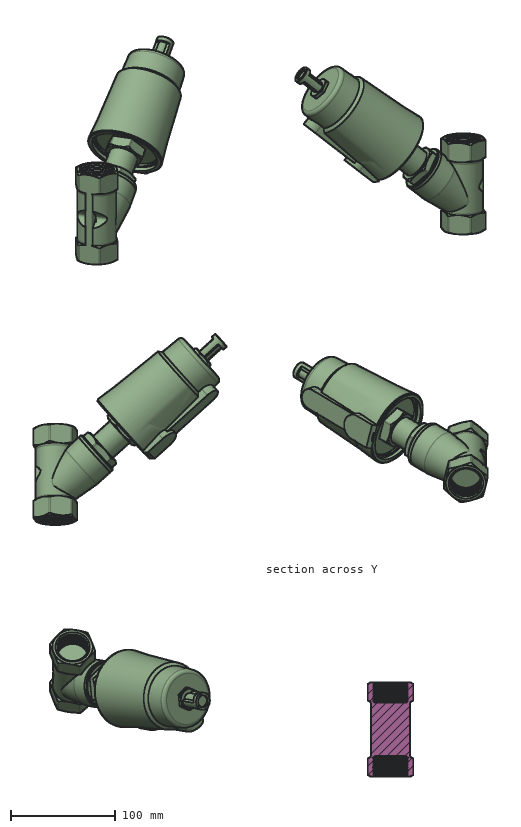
import cadquery as cq
import math

pipe_half_length = 45.2
pipe_radius = 18.8
hex_flats = 38.5
hex_edge_radius = 1.5
hex_height = 19.0
hex_corner_radius = hex_flats / math.sqrt(3)
hex_chamfer_drop = (hex_corner_radius - hex_flats / 2) * math.tan(math.radians(30))
hex_neck_height = 1.7

thread_major_radius = 16.5
thread_minor_radius = 14.9
thread_pitch = 2.3
thread_turns = 8
thread_floor_depth = 19.5

rib_width = 7.3
rib_edge_radius = 0.65
rib_hex_overlap = 1.9
recess_bottom_y = -10.7
recess_half_height = 9.5
recess_reach = 17.0

branch_elevation = math.radians(40)
crossing_z = -15.6

branch_root = -2.6
branch_cone_end = 33.3
branch_end = 50.7
flange_end = 54.6
bonnet_nut_end = 61.5
neck_nut_start = 83.5
housing_start = 87.2
recess_floor = housing_start + 6.5
recess_step = housing_start + 4.1
shoulder_start = 162.0
shoulder_end = 165.0
cap_end = 188.2
cap_nut_end = 191.4
handle_ring_start = 209.5
handle_end = 214.0

branch_root_radius = 18.0
branch_radius = 22.6
flange_chamfer = 1.0
bonnet_nut_flats = 36.0
neck_radius = 14.1
neck_nut_flats = 34.0
housing_base_radius = 37.39
housing_base_chamfer = 1.1
housing_middle_radius = 34.3
housing_top_radius = 32.5
cap_base_radius = 29.4
cap_top_radius = 28.5
cap_edge_radius = 3.8
base_recess_radius = 33.0
base_step_radius = 30.9
cap_nut_flats = 19.5
handle_radius = 8.3
handle_core_radius = 5.7
handle_land_thickness = 7.5
handle_recess_radius = 5.8
handle_recess_depth = 1.9

lower_pad_width = 25.2
lower_pad_end = 122.5
lower_pad_height = 39.5
lower_pad_chamfer = 3.5
upper_pad_width = 20.0
upper_pad_start = 103.5
upper_pad_end = 179.3
upper_pad_height = 36.2
pad_root = 22.6

branch_plane = cq.Plane(
    origin=(0, 0, crossing_z),
    xDir=(1, 0, 0),
    normal=(0, math.cos(branch_elevation), math.sin(branch_elevation)),
)


def place_on_branch(shape):
    """Move a shape built along Z so that its Z axis becomes the branch axis."""
    return cq.Workplane(shape.val().moved(cq.Location(branch_plane)))


def disc(radius, start, end):
    return cq.Workplane("XY").workplane(offset=start).circle(radius).extrude(end - start)


def hex_nut(flats, start, end, chamfered_end):
    """Hexagon with corners on the X axis, its corners cut by a 30 degree cone at one end."""
    corner = flats / math.sqrt(3)
    drop = (corner - flats / 2) * math.tan(math.radians(30))
    flat_edge = flats / 2
    if chamfered_end == "start":
        outline = [(0, start), (flat_edge, start), (corner, start + drop), (corner, end), (0, end)]
    else:
        outline = [(0, start), (corner, start), (corner, end - drop), (flat_edge, end), (0, end)]
    envelope = cq.Workplane("XZ").polyline(outline).close().revolve(360, (0, 0), (0, 1))
    prism = cq.Workplane("XY").workplane(offset=start).polygon(6, 2 * corner).extrude(end - start)
    return prism.edges("|Z").fillet(0.03 * flats).intersect(envelope)


def pipe_with_hexagons():
    """Turned pipe whose thick ends are trimmed to a hexagon."""
    flat_radius = hex_flats / 2
    inner_face = pipe_half_length - hex_height
    neck = inner_face - hex_neck_height
    shaft = (
        cq.Workplane("XZ")
        .moveTo(0, -pipe_half_length)
        .lineTo(flat_radius, -pipe_half_length)
        .lineTo(hex_corner_radius, -pipe_half_length + hex_chamfer_drop)
        .lineTo(hex_corner_radius, -inner_face - hex_chamfer_drop)
        .lineTo(flat_radius, -inner_face)
        .lineTo(pipe_radius, -neck)
        .lineTo(pipe_radius, neck)
        .lineTo(flat_radius, inner_face)
        .lineTo(hex_corner_radius, inner_face + hex_chamfer_drop)
        .lineTo(hex_corner_radius, pipe_half_length - hex_chamfer_drop)
        .lineTo(flat_radius, pipe_half_length)
        .lineTo(0, pipe_half_length)
        .close()
        .revolve(360, (0, 0), (0, 1))
    )
    prism = (
        cq.Workplane("XY")
        .polygon(6, 2 * hex_corner_radius)
        .extrude(pipe_half_length, both=True)
        .edges("|Z")
        .fillet(hex_edge_radius)
    )
    return shaft.intersect(prism)


def side_recess():
    """Groove across the pipe: straight flanks blending into a rounded bottom."""
    mouth_y = -hex_flats / 2
    return (
        cq.Workplane("YZ")
        .moveTo(mouth_y, recess_half_height)
        .spline(
            [(recess_bottom_y, 0), (mouth_y, -recess_half_height)],
            tangents=[(1, -1), (-1, -1)],
            includeCurrent=True,
        )
        .close()
        .extrude(recess_reach, both=True)
    )


def rib():
    """Rounded rib, flush with the hexagon flats and deep enough to form a web in the recess."""
    front_y = -hex_flats / 2
    depth = recess_bottom_y - front_y
    length = 2 * (pipe_half_length - hex_height + rib_hex_overlap)
    bar = cq.Workplane("XY").box(rib_width, depth, length).translate((0, front_y + depth / 2, 0))
    return bar.edges("|Z and <Y").fillet(rib_edge_radius)


def threaded_bore():
    """Blind bore at the top end with a V groove for each thread turn."""
    outline = [(0, pipe_half_length), (thread_major_radius, pipe_half_length)]
    for turn in range(thread_turns):
        crest_z = pipe_half_length - (turn + 0.5) * thread_pitch
        outline.append((thread_minor_radius, crest_z))
        outline.append((thread_major_radius, crest_z - thread_pitch / 2))
    floor_z = pipe_half_length - thread_floor_depth
    outline.append((thread_minor_radius, floor_z))
    outline.append((0, floor_z))
    return cq.Workplane("XZ").polyline(outline).close().revolve(360, (0, 0), (0, 1))


def branch():
    outline = [
        (0, branch_root),
        (branch_root_radius, branch_root),
        (branch_radius, branch_cone_end),
        (branch_radius, branch_end),
        (0, branch_end),
    ]
    return place_on_branch(cq.Workplane("XZ").polyline(outline).close().revolve(360, (0, 0), (0, 1)))


def make_valve_body():
    top_bore = threaded_bore()
    bottom_bore = top_bore.mirror("XY")
    pipe = pipe_with_hexagons().cut(side_recess()).union(rib())
    return pipe.union(branch()).cut(top_bore).cut(bottom_bore)


def housing():
    """Slightly curved taper, a sloping shoulder and a cap with a rounded edge."""
    middle = (housing_start + shoulder_start) / 2
    base_edge = housing_start + housing_base_chamfer
    cap_corner = cap_edge_radius * (1 - math.sqrt(0.5))
    return (
        cq.Workplane("XZ")
        .moveTo(0, housing_start)
        .lineTo(housing_base_radius - housing_base_chamfer, housing_start)
        .lineTo(housing_base_radius, base_edge)
        .threePointArc((housing_middle_radius, middle), (housing_top_radius, shoulder_start))
        .lineTo(cap_base_radius, shoulder_end)
        .lineTo(cap_top_radius, cap_end - cap_edge_radius)
        .threePointArc(
            (cap_top_radius - cap_corner, cap_end - cap_corner),
            (cap_top_radius - cap_edge_radius, cap_end),
        )
        .lineTo(0, cap_end)
        .close()
        .revolve(360, (0, 0), (0, 1))
    )


def pad(width, start, end, height):
    """Flat pad that starts square and ends in a half circle."""
    half = width / 2
    return (
        cq.Workplane("XZ", origin=(0, pad_root, 0))
        .moveTo(-half, start)
        .lineTo(half, start)
        .lineTo(half, end - half)
        .threePointArc((0, end), (-half, end - half))
        .close()
        .extrude(pad_root - height)
    )


def housing_pads():
    lower = pad(lower_pad_width, housing_start, lower_pad_end, lower_pad_height)
    lower = lower.edges(">Y and <Z").chamfer(lower_pad_chamfer)
    return lower.union(pad(upper_pad_width, upper_pad_start, upper_pad_end, upper_pad_height))


def base_recess():
    wide = disc(base_recess_radius, housing_start, recess_step)
    return wide.union(disc(base_step_radius, recess_step, recess_floor))


def bonnet():
    """Flange and nut on the branch, and the neck and nut that carry the housing."""
    flange = disc(branch_radius, branch_end, flange_end).faces(">Z").edges().chamfer(flange_chamfer)
    return (
        flange.union(hex_nut(bonnet_nut_flats, flange_end, bonnet_nut_end, "end"))
        .union(disc(neck_radius, bonnet_nut_end, neck_nut_start))
        .union(hex_nut(neck_nut_flats, neck_nut_start, recess_floor, "start"))
    )


def handle():
    """Nut on the cap, then a round core between two side lands, closed by a ring."""
    lands = disc(handle_radius, cap_nut_end, handle_ring_start).intersect(
        cq.Workplane("XY").box(2 * handle_radius, handle_land_thickness, 2 * handle_end)
    )
    return (
        hex_nut(cap_nut_flats, cap_end, cap_nut_end, "end")
        .union(disc(handle_core_radius, cap_nut_end, handle_ring_start))
        .union(lands)
        .union(disc(handle_radius, handle_ring_start, handle_end))
        .cut(disc(handle_recess_radius, handle_end - handle_recess_depth, handle_end))
    )


def make_actuator():
    shell = housing().union(housing_pads()).cut(base_recess())
    return place_on_branch(shell.union(bonnet()).union(handle()))


valve_body = make_valve_body()
actuator = make_actuator()

result = cq.Compound.makeCompound([valve_body.val(), actuator.val()])